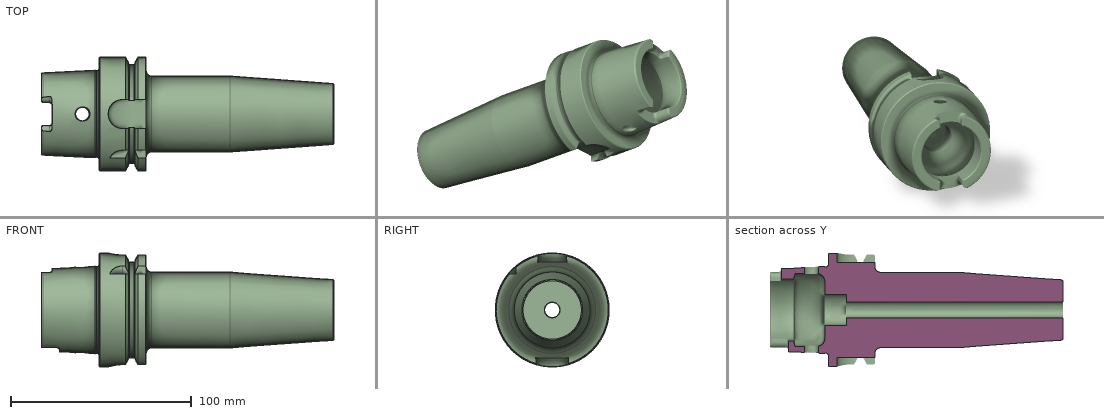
import cadquery as cq
import math

FLANGE_FACE = 32.0
FLANGE_WIDTH = 26.0
FLANGE_END = FLANGE_FACE + FLANGE_WIDTH
NOSE_START = 104.5
LENGTH = 162.0

TAPER_GAUGE_RADIUS = 48.04 / 2
TAPER_GAUGE_X = 25.7
TAPER_SLOPE = 1 / 20
TAPER_END = 29.8
FRONT_FILLET = 1.0
NECK_RADIUS = 23.9
NECK_FILLET = 1.5

FLANGE_RADIUS = 63.0 / 2
FLANGE_CHAMFER = 0.5
GROOVE_CENTRE = 50.0
GROOVE_TOP_WIDTH = 7.0
GROOVE_FLANK_ANGLE = math.radians(30)
GROOVE_FLOOR_WIDTH = 3.5
GROOVE_FLOOR_FILLET = 0.4
GROOVE_RADIUS = 27.5

BODY_RADIUS = 42.0 / 2
BODY_FILLET = 3.0
NOSE_RADIUS = 33.7 / 2
NOSE_CHAMFER = 0.7

MOUTH_RADIUS = 34.0 / 2
MOUTH_CHAMFER = 0.6
MOUTH_LENGTH = 13.0
CAVITY_RADIUS = 40.0 / 2
CAVITY_FILLET = 4.2
CAVITY_FLARE = math.radians(75)
CAVITY_DEPTH = 30.0
COUPLING_DIAMETER = 16.92
COUPLING_DEPTH = 12.0
PASSAGE_DIAMETER = 8.4

DRIVE_SLOT_WIDTH = 12.54
TOP_SLOT_DEPTH = 6.0
BOTTOM_SLOT_DEPTH = 10.0
DRIVE_FLOOR_FILLET = 1.5
DRIVE_FLARE_START = 17.8
DRIVE_FLARE_RADIUS = 3.0
DRIVE_MOUTH_CHAMFER = 0.8

ACCESS_X = 22.7
ACCESS_DIAMETER = 7.5
ACCESS_CHAMFER_DIAMETER = 8.4

GRIP_FLOOR = 26.5
TOP_GRIP_WIDTH = 16.0
BOTTOM_GRIP_WIDTH = 18.0
GRIP_START = 37.0
NOTCH_OFFSET = 20.0
NOTCH_RADIUS = 8.0
NOTCH_CENTRE_X = 45.0

ARC_MID = 1 - math.sqrt(0.5)
CLEARANCE = 5.0


def taper_radius(x):
    return TAPER_GAUGE_RADIUS + (x - TAPER_GAUGE_X) * TAPER_SLOPE


def revolve_about_axis(profile):
    return profile.close().revolve(360, (0, 0, 0), (1, 0, 0))


def circle_at(x, radius):
    """Selector for the circular edge of a turned body at one station and radius."""
    margin = 0.05
    reach = radius + margin
    return cq.selectors.BoxSelector(
        (x - margin, -reach, -reach), (x + margin, reach, reach), boundingbox=True
    )


def make_outside():
    half_top = GROOVE_TOP_WIDTH / 2
    half_floor = GROOVE_FLOOR_WIDTH / 2
    channel_radius = FLANGE_RADIUS - (half_top - half_floor) / math.tan(GROOVE_FLANK_ANGLE)
    profile = (
        cq.Workplane("XY")
        .lineTo(0, taper_radius(0))
        .lineTo(TAPER_END, taper_radius(TAPER_END))
        .lineTo(FLANGE_FACE - NECK_FILLET, NECK_RADIUS)
        .threePointArc(
            (FLANGE_FACE - NECK_FILLET * ARC_MID, NECK_RADIUS + NECK_FILLET * ARC_MID),
            (FLANGE_FACE, NECK_RADIUS + NECK_FILLET),
        )
        .lineTo(FLANGE_FACE, FLANGE_RADIUS - FLANGE_CHAMFER)
        .lineTo(FLANGE_FACE + FLANGE_CHAMFER, FLANGE_RADIUS)
        .lineTo(GROOVE_CENTRE - half_top, FLANGE_RADIUS)
        .lineTo(GROOVE_CENTRE - half_floor, channel_radius)
        .lineTo(GROOVE_CENTRE - half_floor, GROOVE_RADIUS)
        .lineTo(GROOVE_CENTRE + half_floor, GROOVE_RADIUS)
        .lineTo(GROOVE_CENTRE + half_floor, channel_radius)
        .lineTo(GROOVE_CENTRE + half_top, FLANGE_RADIUS)
        .lineTo(FLANGE_END - FLANGE_CHAMFER, FLANGE_RADIUS)
        .lineTo(FLANGE_END, FLANGE_RADIUS - FLANGE_CHAMFER)
        .lineTo(FLANGE_END, BODY_RADIUS + BODY_FILLET)
        .threePointArc(
            (FLANGE_END + BODY_FILLET * ARC_MID, BODY_RADIUS + BODY_FILLET * ARC_MID),
            (FLANGE_END + BODY_FILLET, BODY_RADIUS),
        )
        .lineTo(NOSE_START, BODY_RADIUS)
        .lineTo(LENGTH - NOSE_CHAMFER, NOSE_RADIUS)
        .lineTo(LENGTH, NOSE_RADIUS - NOSE_CHAMFER)
        .lineTo(LENGTH, 0)
    )
    body = revolve_about_axis(profile)
    body = body.edges(circle_at(0, taper_radius(0))).fillet(FRONT_FILLET)
    for x in (GROOVE_CENTRE - half_floor, GROOVE_CENTRE + half_floor):
        body = body.edges(circle_at(x, GROOVE_RADIUS)).fillet(GROOVE_FLOOR_FILLET)
    return body


def make_cavity():
    flare_length = (CAVITY_RADIUS - MOUTH_RADIUS) / math.tan(CAVITY_FLARE)
    profile = (
        cq.Workplane("XY")
        .lineTo(0, MOUTH_RADIUS + MOUTH_CHAMFER)
        .lineTo(MOUTH_CHAMFER, MOUTH_RADIUS)
        .lineTo(MOUTH_LENGTH, MOUTH_RADIUS)
        .lineTo(MOUTH_LENGTH + flare_length, CAVITY_RADIUS)
        .lineTo(CAVITY_DEPTH - CAVITY_FILLET, CAVITY_RADIUS)
        .threePointArc(
            (CAVITY_DEPTH - CAVITY_FILLET * ARC_MID, CAVITY_RADIUS - CAVITY_FILLET * ARC_MID),
            (CAVITY_DEPTH, CAVITY_RADIUS - CAVITY_FILLET),
        )
        .lineTo(CAVITY_DEPTH, 0)
    )
    return revolve_about_axis(profile)


def make_passages():
    coupling = (
        cq.Workplane("YZ", origin=(CAVITY_DEPTH, 0, 0))
        .circle(COUPLING_DIAMETER / 2)
        .extrude(COUPLING_DEPTH)
    )
    passage = cq.Workplane("YZ").circle(PASSAGE_DIAMETER / 2).extrude(LENGTH)
    return coupling.union(passage)


def make_drive_slot(depth):
    """Cutter for an upward-facing drive slot whose walls flare outward in an arc."""
    half = DRIVE_SLOT_WIDTH / 2
    bottom = MOUTH_RADIUS / 2
    flare_end = half + DRIVE_FLARE_RADIUS
    ledge = DRIVE_FLARE_START + DRIVE_FLARE_RADIUS
    side = flare_end + CLEARANCE
    top = taper_radius(depth) + CLEARANCE
    arc_along = DRIVE_FLARE_RADIUS * ARC_MID
    arc_up = DRIVE_FLARE_RADIUS * (1 - ARC_MID)
    profile = (
        cq.Workplane("YZ")
        .moveTo(-half, bottom)
        .lineTo(half, bottom)
        .lineTo(half, DRIVE_FLARE_START)
        .threePointArc((half + arc_along, DRIVE_FLARE_START + arc_up), (flare_end, ledge))
        .lineTo(side, ledge)
        .lineTo(side, top)
        .lineTo(-side, top)
        .lineTo(-side, ledge)
        .lineTo(-flare_end, ledge)
        .threePointArc((-half - arc_along, DRIVE_FLARE_START + arc_up), (-half, DRIVE_FLARE_START))
        .close()
    )
    slot = profile.extrude(depth).faces(">X").edges().fillet(DRIVE_FLOOR_FILLET)
    mouth = (
        cq.Workplane("XY", origin=(0, 0, bottom))
        .moveTo(0, -half - DRIVE_MOUTH_CHAMFER)
        .lineTo(DRIVE_MOUTH_CHAMFER, -half)
        .lineTo(DRIVE_MOUTH_CHAMFER, half)
        .lineTo(0, half + DRIVE_MOUTH_CHAMFER)
        .close()
        .extrude(ledge - bottom)
    )
    return slot.union(mouth)


def make_access_hole():
    mouth_z = taper_radius(ACCESS_X)
    chamfer_depth = (ACCESS_CHAMFER_DIAMETER - ACCESS_DIAMETER) / 2
    profile = (
        cq.Workplane("XZ", origin=(ACCESS_X, 0, 0))
        .lineTo(ACCESS_DIAMETER / 2, 0)
        .lineTo(ACCESS_DIAMETER / 2, mouth_z - chamfer_depth)
        .lineTo(ACCESS_CHAMFER_DIAMETER / 2, mouth_z)
        .lineTo(ACCESS_CHAMFER_DIAMETER / 2, mouth_z + CLEARANCE)
        .lineTo(0, mouth_z + CLEARANCE)
        .close()
    )
    return profile.revolve(360, (0, 0, 0), (0, 1, 0))


def make_round_end_slot(centre_x, centre_y, radius, floor):
    """Cutter for a slot that starts with a half round and runs out of the flange end."""
    profile = (
        cq.Workplane("XY", origin=(0, 0, floor))
        .moveTo(FLANGE_END, centre_y - radius)
        .lineTo(centre_x, centre_y - radius)
        .threePointArc((centre_x - radius, centre_y), (centre_x, centre_y + radius))
        .lineTo(FLANGE_END, centre_y + radius)
        .close()
    )
    return profile.extrude(FLANGE_RADIUS - floor + CLEARANCE)


def make_grip_slot(width):
    return make_round_end_slot(GRIP_START + width / 2, 0, width / 2, GRIP_FLOOR)


def make_notch():
    return make_round_end_slot(NOTCH_CENTRE_X, -NOTCH_OFFSET - NOTCH_RADIUS, NOTCH_RADIUS, NOTCH_OFFSET)


def turned_over(body):
    return body.rotate((0, 0, 0), (1, 0, 0), 180)


cutters = [
    make_cavity(),
    make_passages(),
    make_drive_slot(TOP_SLOT_DEPTH),
    turned_over(make_drive_slot(BOTTOM_SLOT_DEPTH)),
    make_access_hole(),
    turned_over(make_access_hole()),
    make_grip_slot(TOP_GRIP_WIDTH),
    turned_over(make_grip_slot(BOTTOM_GRIP_WIDTH)),
    make_notch(),
]

result = make_outside()
for cutter in cutters:
    result = result.cut(cutter)